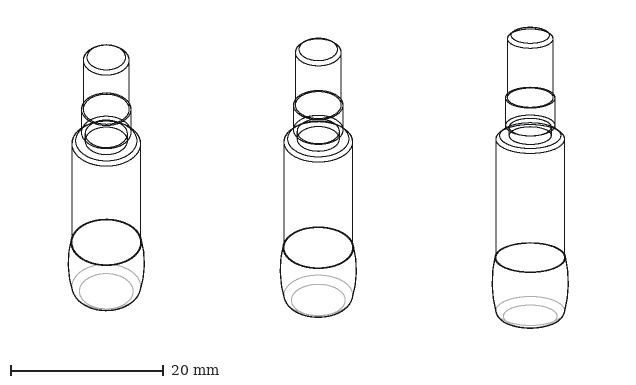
import cadquery as cq

total_height = 40.5
shoulder_height = 26.05
collar_bottom = 27.5
collar_top = 31.5
tip_height = 8.45

shank_radius = 6.0 / 2
collar_radius = 6.5 / 2
neck_radius = 5.5 / 2
barrel_radius = 9.0 / 2
edge_chamfer = 0.5
relief_ramp_height = 0.25

tip_top_radius = 4.6
tip_middle_radius = 5.0
tip_bottom_radius = 4.3
tip_edge_fillet = 1.0


def make_stud():
    """Turned stud: barrel, relief neck, locating collar and shank."""
    profile = (
        cq.Workplane("XZ")
        .moveTo(0, tip_height)
        .lineTo(barrel_radius, tip_height)
        .lineTo(barrel_radius, shoulder_height - edge_chamfer)
        .lineTo(barrel_radius - edge_chamfer, shoulder_height)
        .lineTo(neck_radius, shoulder_height)
        .lineTo(neck_radius, collar_bottom - relief_ramp_height)
        .lineTo(collar_radius, collar_bottom)
        .lineTo(collar_radius, collar_top)
        .lineTo(shank_radius, collar_top)
        .lineTo(shank_radius, total_height - edge_chamfer)
        .lineTo(shank_radius - edge_chamfer, total_height)
        .lineTo(0, total_height)
        .close()
    )
    return profile.revolve(360, (0, 0, 0), (0, 1, 0))


def make_tip():
    """Crowned tip with a barrel-shaped side and a rounded lower edge."""
    profile = (
        cq.Workplane("XZ")
        .lineTo(tip_bottom_radius, 0)
        .threePointArc((tip_middle_radius, tip_height / 2), (tip_top_radius, tip_height))
        .lineTo(0, tip_height)
        .close()
    )
    return profile.revolve(360, (0, 0, 0), (0, 1, 0)).edges("<Z").fillet(tip_edge_fillet)


stud = make_stud()
tip = make_tip()

result = cq.Compound.makeCompound([stud.val(), tip.val()])